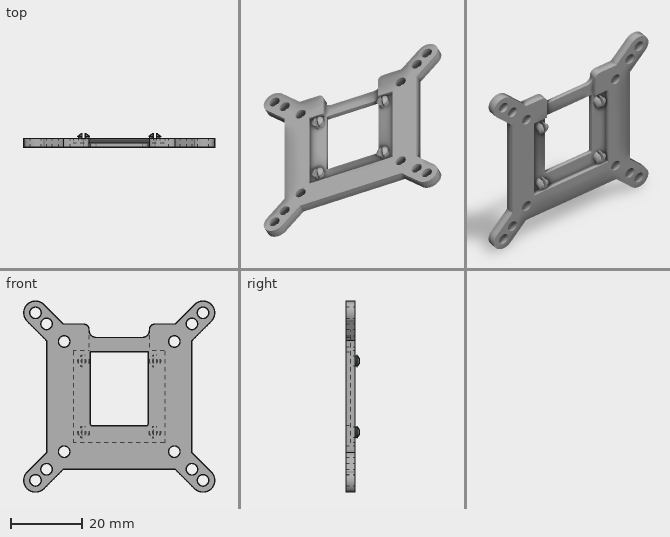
import cadquery as cq
import math

overall_size = 53.85
plate_thickness = 2.6
body_half = 20.45
arm_radius = 3.35
arm_reach = overall_size / 2 - arm_radius

bolt_diameter = 3.2
bolt_offsets = (15.5, body_half, arm_reach)

notch_half_width = 8.45
notch_floor = 16.7
notch_outer_radius = 1.6
notch_inner_radius = 1.95

window_half_width = 8.15
window_top = 12.6
window_bottom = -8.2
window_radius = 0.55

web_thickness = 1.3
pocket_half = 12.9

peg_offset = 10.0
peg_diameter = 3.0
lip_diameter = 3.4
tip_diameter = 1.4
lip_y = 3.1
peg_tip_y = 3.9
split_width = 0.8

corner_signs = [(sx, sz) for sx in (-1, 1) for sz in (-1, 1)]


def block(x_min, x_max, y_min, y_max, z_min, z_max):
    """Box given by its limits along each axis."""
    size = (x_max - x_min, y_max - y_min, z_max - z_min)
    return cq.Workplane("XY").box(*size, centered=False).translate((x_min, y_min, z_min))


def cylinder(diameter, x, z):
    """Cylinder through the plate thickness, with its axis along Y."""
    disc = cq.Workplane("XZ", origin=(x, 0, z)).circle(diameter / 2)
    return disc.extrude(-plate_thickness)


def make_arm(sx, sz):
    """Arm running from the plate centre to a rounded end at one corner."""
    length = arm_reach * math.sqrt(2)
    bar = block(0, length, 0, plate_thickness, -arm_radius, arm_radius)
    angle = -math.degrees(math.atan2(sz, sx))
    bar = bar.rotate((0, 0, 0), (0, 1, 0), angle)
    return bar.union(cylinder(2 * arm_radius, sx * arm_reach, sz * arm_reach))


def make_plate():
    """Square body, notched in its top edge, with its four arms."""
    plate = block(-body_half, body_half, 0, plate_thickness, -body_half, body_half)
    notch = block(-notch_half_width, notch_half_width, 0, plate_thickness, notch_floor, body_half)
    notch = notch.edges("|Y and <Z").fillet(notch_inner_radius)
    plate = plate.cut(notch)
    margin = notch_outer_radius / 2
    mouth = cq.selectors.BoxSelector(
        (-notch_half_width - margin, -margin, body_half - margin),
        (notch_half_width + margin, plate_thickness + margin, body_half + margin),
    )
    plate = plate.edges("|Y").edges(mouth).fillet(notch_outer_radius)
    for sx, sz in corner_signs:
        plate = plate.union(make_arm(sx, sz))
    return plate


def make_window():
    window = block(
        -window_half_width, window_half_width, 0, plate_thickness, window_bottom, window_top
    )
    return window.edges("|Y and <Z").fillet(window_radius)


def make_pocket():
    """Back pocket with a channel that opens into the notch."""
    pocket = block(
        -pocket_half, pocket_half, web_thickness, plate_thickness, -pocket_half, pocket_half
    )
    channel_top = body_half - notch_outer_radius
    channel = block(
        -notch_half_width, notch_half_width, web_thickness, plate_thickness, 0, channel_top
    )
    return pocket.union(channel)


def make_peg(x, z):
    """Turned peg with a snap lip and a conical tip, split by a slot along Z."""
    half_profile = [
        (0, 0),
        (peg_diameter / 2, 0),
        (peg_diameter / 2, lip_y),
        (lip_diameter / 2, lip_y),
        (tip_diameter / 2, peg_tip_y),
        (0, peg_tip_y),
    ]
    peg = cq.Workplane("XY").polyline(half_profile).close()
    peg = peg.revolve(360, (0, 0, 0), (0, 1, 0))
    split = block(
        -split_width / 2, split_width / 2, web_thickness, peg_tip_y, -lip_diameter, lip_diameter
    )
    return peg.cut(split).translate((x, 0, z))


result = make_plate().cut(make_window()).cut(make_pocket())
for sx, sz in corner_signs:
    result = result.union(make_peg(sx * peg_offset, sz * peg_offset))
    for offset in bolt_offsets:
        result = result.cut(cylinder(bolt_diameter, sx * offset, sz * offset))